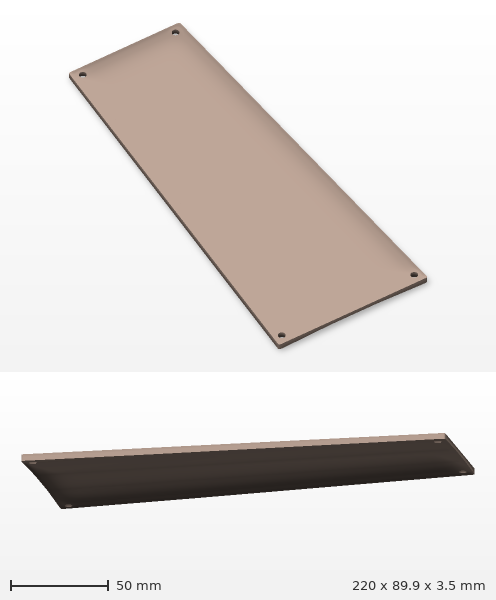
import cadquery as cq

length = 220.0
narrow_width = 67.0
wide_width = 90.0
thickness = 3.5
corner_radius = 1.0

arch_width = 82.7
arch_rise = 1.3

hole_diameter = 4.0
hole_end_inset = 5.0
narrow_hole_spacing = 56.0
wide_hole_spacing = 80.0


def tapered_plate():
    half_length = length / 2
    outline = [
        (-half_length, -narrow_width / 2),
        (half_length, -wide_width / 2),
        (half_length, wide_width / 2),
        (-half_length, narrow_width / 2),
    ]
    plate = cq.Workplane("XY").polyline(outline).close().extrude(thickness)
    return plate.edges("|Z").fillet(corner_radius)


def underside_arch():
    """Circular-segment cutter running the full length of the plate."""
    return (
        cq.Workplane("YZ")
        .moveTo(-arch_width / 2, 0)
        .threePointArc((0, arch_rise), (arch_width / 2, 0))
        .close()
        .extrude(length / 2, both=True)
    )


def mounting_holes():
    hole_x = length / 2 - hole_end_inset
    centers = []
    for x, spacing in ((-hole_x, narrow_hole_spacing), (hole_x, wide_hole_spacing)):
        for side in (-1, 1):
            centers.append((x, side * spacing / 2))
    return cq.Workplane("XY").pushPoints(centers).circle(hole_diameter / 2).extrude(thickness)


result = tapered_plate().cut(underside_arch()).cut(mounting_holes())